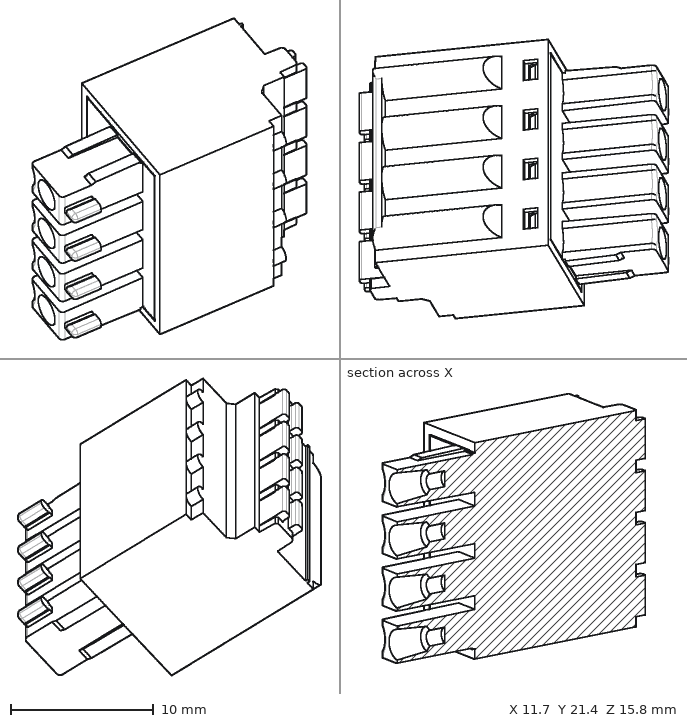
import cadquery as cq


POLE_COUNT = 4
PITCH = 3.8
POLE_Z = [(i - (POLE_COUNT - 1) / 2) * PITCH for i in range(POLE_COUNT)]
OVERLAP = 0.21

WIDTH = 10.61
HEIGHT = 15.84
BACK_Y = 12.48
STEP_Y = 10.34
STEP_X = 6.8
STEP_CHAMFER = 0.47
RIDGE_X = 0.7
RIDGE_WIDTH = 0.21
RIDGE_HEIGHT = 0.21

SEAM_LEFT = 0.68
SEAM_RIGHT = 9.9
SEAM_HEIGHT = 14.38
SEAM_WIDTH = 0.06
SEAM_DEPTH = 0.1

RECESS_WIDTH = 0.62
RECESS_LENGTH = 1.03

RIB_REACH = 1.1
RIB_RADIUS = 1.26
RIB_FRONT_Y = 3.34
RIB_BACK_ROUND = 0.3
GRIP_BAR_FRONT_Y = 11.75

WINDOW_FRONT_Y = 0.77
WINDOW_BACK_Y = 1.82
WINDOW_HEIGHT = 1.52
WINDOW_DEPTH = 0.55
WELL_CREST_Y = 1.1
WELL_BACK_Y = 1.55
WELL_HEIGHT = 1.25
WELL_DEPTH = 0.43
SILL_DEPTH = 0.06

TAB_LEFT = 4.13
TAB_RIGHT = 6.3
TAB_BACK_Y = 13.97
TAB_ROOT_SETBACK = 0.02
TAB_END_SETBACK = 0.09
TAB_CHAMFER = 0.17
PRONG_BACK_Y = 14.7
PRONG_HEIGHT = 2.93
PRONG_ROUND = 0.2
FORK_LEFT = 4.82
FORK_RIGHT = 5.6
FORK_LIP = 0.06
FORK_LIP_Y = 14.19

PLUG_LEFT = 4.2
PLUG_RIGHT = 8.3
PLUG_TIP_Y = -6.7
PLUG_TIP_HALF = 1.37
PLUG_MIDDLE_ROOT_HALF = 1.4
PLUG_END_ROOT_HALF = 1.45
COLLAR_LENGTH = 0.2
PLUG_ROUND = 0.3
GROOVE_RADIUS = 1.55
GROOVE_DEPTH = 0.3

HOLE_X = 6.33
HOLE_MOUTH_DIAMETER = 2.27
HOLE_THROAT_DIAMETER = 1.85
HOLE_BORE_DIAMETER = 1.2
HOLE_TAPER_LENGTH = 2.57
HOLE_FUNNEL_LENGTH = 0.25
HOLE_BORE_LENGTH = 1.28

STRIP_WIDTH = 0.98
STRIP_RAMP_Y = -3.85
STRIP_FRONT_Y = -4.22
STRIP_BACK_RISE = 1.6
STRIP_FRONT_RISE = 1.52

KEY_TIP_X = 9.57
KEY_BACK_Y = -4.2
KEY_FRONT_Y = -6.42
KEY_NECK_END_X = 8.6
KEY_HEAD_X = 8.77
KEY_NECK_HALF = 0.28
KEY_HEAD_HALF = 0.4
KEY_FLAT_HALF = 0.1


def block(x0, x1, y0, y1, z0, z1):
    """Box between two opposite corners."""
    return cq.Workplane("XY").box(x1 - x0, y1 - y0, z1 - z0, centered=False).translate((x0, y0, z0))


def pole_block(x0, x1, y0, y1, height, z):
    """Box of the given height centred on the height z."""
    return block(x0, x1, y0, y1, z - height / 2, z + height / 2)


def plate(points, height, z=0):
    """Outline in X and Y, extruded to a height centred on z."""
    return cq.Workplane("XY", origin=(0, 0, z)).polyline(points).close().extrude(height / 2, both=True)


def side_prism(points, x0, x1):
    """Outline in Y and Z, extruded from x0 to x1."""
    return cq.Workplane("YZ", origin=(x0, 0, 0)).polyline(points).close().extrude(x1 - x0)


def rod(x, z, radius, y0, y1):
    """Cylinder along Y."""
    return cq.Workplane("XZ", origin=(x, y0, z)).circle(radius).extrude(y0 - y1)


def housing():
    outline = [
        (0, 0),
        (WIDTH, 0),
        (WIDTH, STEP_Y),
        (STEP_X + STEP_CHAMFER, STEP_Y),
        (STEP_X, STEP_Y + STEP_CHAMFER),
        (STEP_X, BACK_Y),
        (0, BACK_Y),
    ]
    body = plate(outline, HEIGHT)
    ridge = pole_block(RIDGE_X, RIDGE_X + RIDGE_WIDTH, BACK_Y - OVERLAP, BACK_Y + RIDGE_HEIGHT, HEIGHT, 0)
    return body.union(ridge)


def seam():
    outer = pole_block(SEAM_LEFT, SEAM_RIGHT, 0, SEAM_DEPTH, SEAM_HEIGHT, 0)
    panel = pole_block(
        SEAM_LEFT + SEAM_WIDTH, SEAM_RIGHT - SEAM_WIDTH, 0, SEAM_DEPTH, SEAM_HEIGHT - 2 * SEAM_WIDTH, 0
    )
    return outer.cut(panel)


def corner_recess():
    """Recess down the back right edge, less one quarter-round bump per pole."""
    left = WIDTH - RECESS_WIDTH
    front = STEP_Y - RECESS_LENGTH
    recess = pole_block(left, WIDTH, front, STEP_Y, HEIGHT, 0)
    for z in POLE_Z:
        recess = recess.cut(rod(left, z, RECESS_WIDTH, front, STEP_Y))
    return recess


def grip():
    """Rounded ribs with sloped front ends, tied together by a bar at the back."""
    axis_x = RIB_RADIUS - RIB_REACH
    ribs = pole_block(-RIB_REACH, OVERLAP, GRIP_BAR_FRONT_Y, BACK_Y, POLE_Z[-1] - POLE_Z[0], 0)
    for z in POLE_Z:
        ribs = ribs.union(rod(axis_x, z, RIB_RADIUS, RIB_FRONT_Y, BACK_Y))
    side_profile = [
        (OVERLAP, RIB_FRONT_Y),
        (0, RIB_FRONT_Y),
        (-RIB_REACH, RIB_FRONT_Y + RIB_REACH),
        (-RIB_REACH, BACK_Y),
        (OVERLAP, BACK_Y),
    ]
    envelope = plate(side_profile, HEIGHT).edges("|Z").edges("<X").edges(">Y").fillet(RIB_BACK_ROUND)
    return ribs.intersect(envelope)


def window(z):
    """Rectangular window with a wedge-shaped well in its floor."""
    mouth = pole_block(0, WINDOW_DEPTH, WINDOW_FRONT_Y, WINDOW_BACK_Y, WINDOW_HEIGHT, z)
    well_outline = [
        (0, WINDOW_FRONT_Y),
        (WINDOW_DEPTH + SILL_DEPTH, WINDOW_FRONT_Y),
        (WINDOW_DEPTH + SILL_DEPTH, WELL_CREST_Y),
        (WINDOW_DEPTH + WELL_DEPTH, WELL_BACK_Y),
        (0, WELL_BACK_Y),
    ]
    return mouth.union(plate(well_outline, WELL_HEIGHT, z))


def back_tab():
    """Full-height tab, slightly tapered, with chamfered corners."""
    outline = [
        (TAB_LEFT + TAB_ROOT_SETBACK, BACK_Y - OVERLAP),
        (TAB_RIGHT - TAB_ROOT_SETBACK, BACK_Y - OVERLAP),
        (TAB_RIGHT - TAB_END_SETBACK, TAB_BACK_Y),
        (TAB_LEFT + TAB_END_SETBACK, TAB_BACK_Y),
    ]
    return plate(outline, HEIGHT).edges("|Z and >Y").chamfer(TAB_CHAMFER)


def prongs(z):
    """Forked block with rounded prong tips."""
    fork = pole_block(TAB_LEFT, TAB_RIGHT, BACK_Y - OVERLAP, PRONG_BACK_Y, PRONG_HEIGHT, z)
    gap_outline = [
        (FORK_LEFT + FORK_LIP, TAB_BACK_Y),
        (FORK_RIGHT - FORK_LIP, TAB_BACK_Y),
        (FORK_RIGHT, FORK_LIP_Y),
        (FORK_RIGHT, PRONG_BACK_Y),
        (FORK_LEFT, PRONG_BACK_Y),
        (FORK_LEFT, FORK_LIP_Y),
    ]
    fork = fork.cut(plate(gap_outline, PRONG_HEIGHT, z))
    return fork.edges("|Z and >Y").fillet(PRONG_ROUND)


def tapered_plug(z, lower_root, upper_root):
    """Tapered plug with a round groove on the left and rounded tip edges."""
    side = [
        (OVERLAP, z - lower_root),
        (0, z - lower_root),
        (PLUG_TIP_Y, z - PLUG_TIP_HALF),
        (PLUG_TIP_Y, z + PLUG_TIP_HALF),
        (0, z + upper_root),
        (OVERLAP, z + upper_root),
    ]
    body = side_prism(side, PLUG_LEFT, PLUG_RIGHT).cut(plug_groove(z))
    return body.faces("<Y").edges("<X or >X or %CIRCLE").fillet(PLUG_ROUND)


def plug_groove(z):
    """Round groove along the left side of a plug."""
    return rod(PLUG_LEFT + GROOVE_DEPTH - GROOVE_RADIUS, z, GROOVE_RADIUS, PLUG_TIP_Y, 0)


def middle_plug(z):
    return tapered_plug(z, PLUG_MIDDLE_ROOT_HALF, PLUG_MIDDLE_ROOT_HALF)


def top_end_plug(z):
    """End plug with a flat upper face, a root collar and two ramped guide strips."""
    face = z + PLUG_TIP_HALF
    body = tapered_plug(z, PLUG_END_ROOT_HALF, PLUG_TIP_HALF)
    collar = block(PLUG_LEFT, PLUG_RIGHT, -COLLAR_LENGTH, OVERLAP, z, z + PLUG_END_ROOT_HALF)
    side = [
        (-COLLAR_LENGTH, face - OVERLAP),
        (-COLLAR_LENGTH, z + STRIP_BACK_RISE),
        (STRIP_RAMP_Y, z + STRIP_FRONT_RISE),
        (STRIP_FRONT_Y, face),
        (STRIP_FRONT_Y, face - OVERLAP),
    ]
    left_strip = side_prism(side, PLUG_LEFT, PLUG_LEFT + STRIP_WIDTH)
    right_strip = side_prism(side, PLUG_RIGHT - STRIP_WIDTH, PLUG_RIGHT)
    additions = collar.union(left_strip).union(right_strip)
    return body.union(additions.cut(plug_groove(z)))


def contact_hole(z):
    """Long taper, short funnel and blind bore, turned about the plug axis."""
    taper_end = PLUG_TIP_Y + HOLE_TAPER_LENGTH
    funnel_end = taper_end + HOLE_FUNNEL_LENGTH
    bore_end = funnel_end + HOLE_BORE_LENGTH
    profile = [
        (0, PLUG_TIP_Y),
        (HOLE_MOUTH_DIAMETER / 2, PLUG_TIP_Y),
        (HOLE_THROAT_DIAMETER / 2, taper_end),
        (HOLE_BORE_DIAMETER / 2, funnel_end),
        (HOLE_BORE_DIAMETER / 2, bore_end),
        (0, bore_end),
    ]
    turned = cq.Workplane("XY").polyline(profile).close().revolve(360, (0, 0, 0), (0, 1, 0))
    return turned.translate((HOLE_X, 0, z))


def coding_key(z):
    """Key with a slim neck and a wider head, rounded at the front and at the tip."""
    neck = pole_block(
        PLUG_RIGHT - OVERLAP, KEY_HEAD_X + OVERLAP, KEY_FRONT_Y, KEY_BACK_Y, 2 * KEY_NECK_HALF, z
    )
    neck = neck.edges("<Y and |X").fillet(KEY_NECK_HALF - KEY_FLAT_HALF)
    head_outline = [
        (KEY_NECK_END_X, -KEY_NECK_HALF),
        (KEY_HEAD_X, -KEY_HEAD_HALF),
        (KEY_TIP_X, -KEY_HEAD_HALF),
        (KEY_TIP_X, KEY_HEAD_HALF),
        (KEY_HEAD_X, KEY_HEAD_HALF),
        (KEY_NECK_END_X, KEY_NECK_HALF),
    ]
    head = cq.Workplane("XZ", origin=(0, KEY_BACK_Y, z)).polyline(head_outline).close()
    head = head.extrude(KEY_BACK_Y - KEY_FRONT_Y)
    head = head.edges("(<Y and |X) or (>X and |Y) or (>X and <Y)").fillet(KEY_HEAD_HALF - KEY_FLAT_HALF)
    return neck.union(head)


result = housing().union(grip()).union(back_tab()).cut(seam()).cut(corner_recess())
for pole_z in POLE_Z:
    result = result.cut(window(pole_z)).union(prongs(pole_z)).union(coding_key(pole_z))

end_plug = top_end_plug(POLE_Z[-1])
result = result.union(end_plug).union(end_plug.mirror("XY"))
for pole_z in POLE_Z[1:-1]:
    result = result.union(middle_plug(pole_z))
for pole_z in POLE_Z:
    result = result.cut(contact_hole(pole_z))